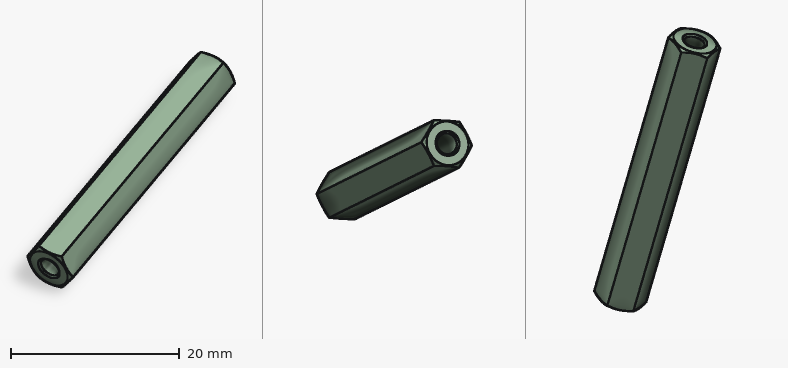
import cadquery as cq
import math

length = 37.0
across_flats = 5.5
across_corners = across_flats / math.cos(math.radians(30))

end_face_diameter = 5.25
chamfer_angle = 30.0

bore_diameter = 2.5
bore_depth = 10.0
mouth_diameter = 3.0
mouth_angle = 90.0
drill_point_angle = 118.0


def revolve_about_y(points):
    """Turn a closed (radius, y) outline about the Y axis."""
    return cq.Workplane("XY").polyline(points).close().revolve(360, (0, 0, 0), (0, 1, 0))


def make_corner_envelope():
    """Round bar with chamfered ends, whose overlap with the hexagon trims its corners."""
    half_length = length / 2
    face_radius = end_face_diameter / 2
    bar_radius = across_corners
    chamfer_drop = (bar_radius - face_radius) * math.tan(math.radians(chamfer_angle))
    return revolve_about_y([
        (0, -half_length),
        (face_radius, -half_length),
        (bar_radius, -half_length + chamfer_drop),
        (bar_radius, half_length - chamfer_drop),
        (face_radius, half_length),
        (0, half_length),
    ])


def make_end_hole():
    """Solid to remove from the -Y end."""
    end_y = -length / 2
    bore_radius = bore_diameter / 2
    mouth_radius = mouth_diameter / 2
    mouth_depth = (mouth_radius - bore_radius) / math.tan(math.radians(mouth_angle / 2))
    point_depth = bore_radius / math.tan(math.radians(drill_point_angle / 2))
    return revolve_about_y([
        (0, end_y),
        (mouth_radius, end_y),
        (bore_radius, end_y + mouth_depth),
        (bore_radius, end_y + bore_depth),
        (0, end_y + bore_depth + point_depth),
    ])


hexagon_bar = cq.Workplane("XZ").polygon(6, across_corners).extrude(length / 2, both=True)
body = hexagon_bar.intersect(make_corner_envelope())

near_hole = make_end_hole()
far_hole = near_hole.mirror("XZ")
result = body.cut(near_hole).cut(far_hole)